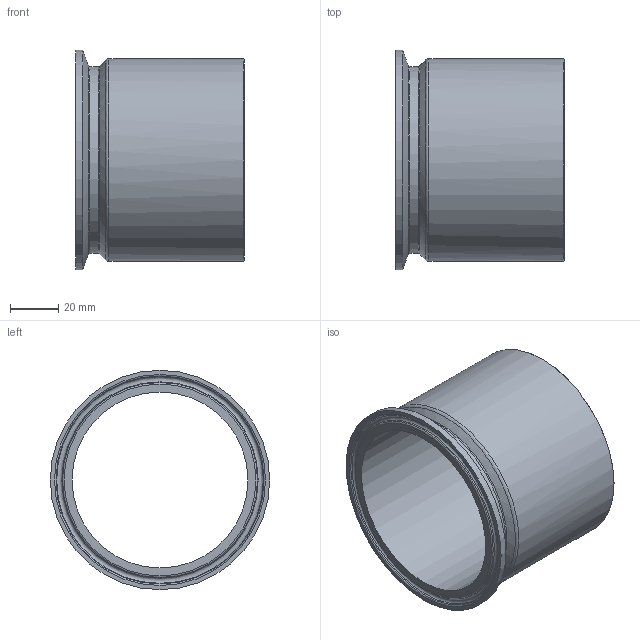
import cadquery as cq
import math

length = 69.85
flange_radius = 90.91 / 2
neck_radius = 77.47 / 2
body_radius = 84.07 / 2
bore_radius = 72.9 / 2

rim_width = 2.87
clamp_angle = math.radians(20)
neck_end = 9.65
shoulder_angle = math.radians(45)
neck_fillet = 0.8
shoulder_fillet = 2.0

groove_radius = 83.5 / 2
groove_half_width = 1.97
groove_wall_angle = math.radians(65)
groove_bottom_fillet = 1.2
groove_lip_fillet = 0.7

end_chamfer = 0.25


def revolve_about_x(profile):
    """Revolve an XY profile, with Y as the radius, a full turn about X."""
    return profile.revolve(360, (0, 0, 0), (1, 0, 0))


def corner_at(part, x, radius):
    """Select the circular edge with the given radius at the given X."""
    tolerance = 0.01
    low = (x - tolerance, -radius - tolerance, -radius - tolerance)
    high = (x + tolerance, radius + tolerance, radius + tolerance)
    return part.edges(cq.selectors.BoxSelector(low, high, boundingbox=True))


def make_body():
    """Flanged sleeve with a necked-in clamp recess."""
    neck_start = rim_width + (flange_radius - neck_radius) * math.tan(clamp_angle)
    shoulder_end = neck_end + (body_radius - neck_radius) / math.tan(shoulder_angle)
    profile = (
        cq.Workplane("XY")
        .moveTo(0, bore_radius)
        .lineTo(0, flange_radius)
        .lineTo(rim_width, flange_radius)
        .lineTo(neck_start, neck_radius)
        .lineTo(neck_end, neck_radius)
        .lineTo(shoulder_end, body_radius)
        .lineTo(length - end_chamfer, body_radius)
        .lineTo(length, body_radius - end_chamfer)
        .lineTo(length, bore_radius)
        .close()
    )
    part = revolve_about_x(profile)
    for x in (neck_start, neck_end):
        part = corner_at(part, x, neck_radius).fillet(neck_fillet)
    return corner_at(part, shoulder_end, body_radius).fillet(shoulder_fillet)


def make_groove():
    """Ring with a round bottom, sloping walls and rounded lips at the clamp face."""
    sine = math.sin(groove_wall_angle)
    cosine = math.cos(groove_wall_angle)

    lip_offset = groove_half_width - groove_lip_fillet * sine
    lip_depth = groove_lip_fillet * (1 - cosine)
    lip_mid_offset = groove_half_width - groove_lip_fillet * math.sin(groove_wall_angle / 2)
    lip_mid_depth = groove_lip_fillet * (1 - math.cos(groove_wall_angle / 2))
    bottom_offset = groove_bottom_fillet * sine
    bottom_start = lip_depth + (lip_offset - bottom_offset) * math.tan(groove_wall_angle)
    groove_depth = bottom_start + groove_bottom_fillet * (1 - cosine)

    profile = (
        cq.Workplane("XY")
        .moveTo(0, groove_radius - groove_half_width)
        .threePointArc(
            (lip_mid_depth, groove_radius - lip_mid_offset),
            (lip_depth, groove_radius - lip_offset),
        )
        .lineTo(bottom_start, groove_radius - bottom_offset)
        .threePointArc(
            (groove_depth, groove_radius),
            (bottom_start, groove_radius + bottom_offset),
        )
        .lineTo(lip_depth, groove_radius + lip_offset)
        .threePointArc(
            (lip_mid_depth, groove_radius + lip_mid_offset),
            (0, groove_radius + groove_half_width),
        )
        .close()
    )
    return revolve_about_x(profile)


result = make_body().cut(make_groove())